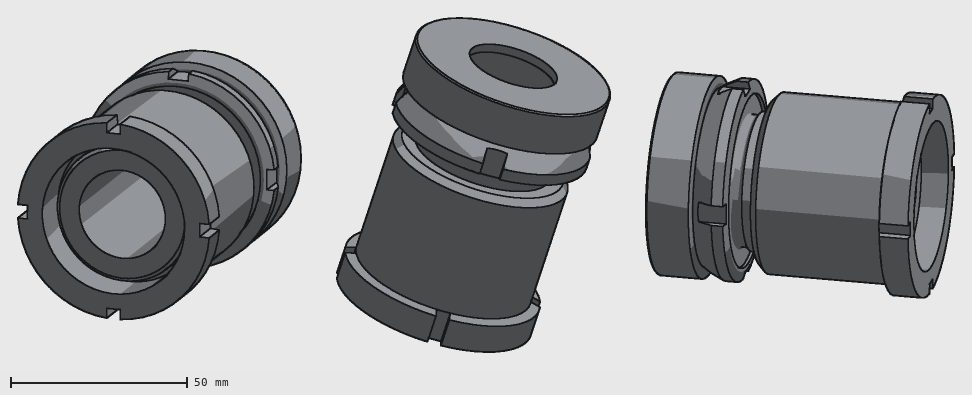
import cadquery as cq
import math

RIM_RADIUS = 58.0 / 2
BODY_RADIUS = 52.0 / 2
THREAD_RADIUS = 40.0 / 2
THROUGH_BORE_RADIUS = 26.0 / 2
BEVEL_SLOPE = math.tan(math.radians(15))
RIM_BEVEL = (RIM_RADIUS - BODY_RADIUS) * BEVEL_SLOPE
SLOT_COUNT = 4

FLANGE_THICKNESS = 9.15
SLEEVE_LENGTH = 47.1
SLEEVE_CHAMFER = 2.0
COUNTERBORE_RADIUS = 43 / 2
COUNTERBORE_DEPTH = 13.05
FLANGE_SLOT_WIDTH = 4.0

SPINDLE_START = 7.3
THREAD_CHAMFER = 1.1
THREAD_END = 50.5
NECK_RADIUS = THREAD_RADIUS - THREAD_CHAMFER
NECK_FILLET = 0.8
COLLAR_FRONT = 53.2
COLLAR_EDGE = 57.4
RECESS_RADIUS = 49.9 / 2
RECESS_DEPTH = 1.0
COLLAR_SLOT_WIDTH = 6.0
COLLAR_SLOT_FLOOR = 26.8

BALL_RADIUS = 31.25
BALL_CENTRE = COLLAR_EDGE - math.sqrt(BALL_RADIUS**2 - RIM_RADIUS**2)
BALL_TOP = BALL_CENTRE + math.sqrt(BALL_RADIUS**2 - THROUGH_BORE_RADIUS**2)

CAP_FRONT = 63.6
CAP_BACK = 76.65
CAP_BEVEL_WIDTH = 2.0
CAP_BACK_CHAMFER = 0.45
CAP_TILT_X = 0.25
CAP_TILT_Z = 0.25


def ball_radius_at(y):
    """Radius of the ball's cross-section at height y along the axis."""
    return math.sqrt(BALL_RADIUS**2 - (y - BALL_CENTRE) ** 2)


def ball_y_at(radius):
    """Height y at which the ball's cross-section has the given radius."""
    return BALL_CENTRE + math.sqrt(BALL_RADIUS**2 - radius**2)


def turned(profile):
    """Revolve a closed (radius, y) profile about the Y axis."""
    return profile.close().revolve(360, (0, 0, 0), (0, 1, 0))


def rim_slots(width, floor, start, end):
    """Four key slots around the Y axis, open outwards, from y = start to y = end."""
    depth = 2 * (RIM_RADIUS - floor)
    slot = cq.Workplane("XY").box(depth, end - start, width, centered=(False, False, True))
    slot = slot.translate((floor, start, 0))
    slots = cq.Workplane("XY")
    for i in range(SLOT_COUNT):
        slots = slots.add(slot.rotate((0, 0, 0), (0, 1, 0), i * 360 / SLOT_COUNT))
    return slots.combine()


def make_sleeve():
    profile = (
        cq.Workplane("XY")
        .moveTo(COUNTERBORE_RADIUS, 0)
        .lineTo(RIM_RADIUS, 0)
        .lineTo(RIM_RADIUS, FLANGE_THICKNESS - RIM_BEVEL)
        .lineTo(BODY_RADIUS, FLANGE_THICKNESS)
        .lineTo(BODY_RADIUS, SLEEVE_LENGTH - SLEEVE_CHAMFER)
        .lineTo(BODY_RADIUS - SLEEVE_CHAMFER, SLEEVE_LENGTH)
        .lineTo(THREAD_RADIUS, SLEEVE_LENGTH)
        .lineTo(THREAD_RADIUS, COUNTERBORE_DEPTH)
        .lineTo(COUNTERBORE_RADIUS, COUNTERBORE_DEPTH)
    )
    slots = rim_slots(FLANGE_SLOT_WIDTH, BODY_RADIUS, 0, FLANGE_THICKNESS)
    return turned(profile).cut(slots).solids()


def make_spindle():
    ball_mid = (RIM_RADIUS + THROUGH_BORE_RADIUS) / 2
    recess_floor = COLLAR_FRONT + RECESS_DEPTH
    neck_start = THREAD_END + THREAD_CHAMFER
    tangent = NECK_FILLET * math.tan(math.radians(45 / 2))
    slope_end = tangent / math.sqrt(2)
    profile = (
        cq.Workplane("XY")
        .moveTo(THROUGH_BORE_RADIUS, SPINDLE_START)
        .lineTo(THREAD_RADIUS - THREAD_CHAMFER, SPINDLE_START)
        .lineTo(THREAD_RADIUS, SPINDLE_START + THREAD_CHAMFER)
        .lineTo(THREAD_RADIUS, THREAD_END)
        .lineTo(NECK_RADIUS + slope_end, neck_start - slope_end)
        .radiusArc((NECK_RADIUS, neck_start + tangent), NECK_FILLET)
        .lineTo(NECK_RADIUS, recess_floor - NECK_FILLET)
        .radiusArc((NECK_RADIUS + NECK_FILLET, recess_floor), NECK_FILLET)
        .lineTo(RECESS_RADIUS, recess_floor)
        .lineTo(RECESS_RADIUS, COLLAR_FRONT)
        .lineTo(BODY_RADIUS, COLLAR_FRONT)
        .lineTo(RIM_RADIUS, COLLAR_FRONT + RIM_BEVEL)
        .lineTo(RIM_RADIUS, COLLAR_EDGE)
        .threePointArc((ball_mid, ball_y_at(ball_mid)), (THROUGH_BORE_RADIUS, BALL_TOP))
    )
    slots = rim_slots(COLLAR_SLOT_WIDTH, COLLAR_SLOT_FLOOR, COLLAR_FRONT, CAP_FRONT)
    return turned(profile).cut(slots).solids()


def make_cap():
    seat_radius = ball_radius_at(CAP_FRONT)
    seat_mid = (seat_radius + THROUGH_BORE_RADIUS) / 2
    profile = (
        cq.Workplane("XY")
        .moveTo(seat_radius, CAP_FRONT)
        .lineTo(RIM_RADIUS - CAP_BEVEL_WIDTH, CAP_FRONT)
        .lineTo(RIM_RADIUS, CAP_FRONT + CAP_BEVEL_WIDTH * BEVEL_SLOPE)
        .lineTo(RIM_RADIUS, CAP_BACK - CAP_BACK_CHAMFER)
        .lineTo(RIM_RADIUS - CAP_BACK_CHAMFER, CAP_BACK)
        .lineTo(THROUGH_BORE_RADIUS, CAP_BACK)
        .lineTo(THROUGH_BORE_RADIUS, BALL_TOP)
        .threePointArc((seat_mid, ball_y_at(seat_mid)), (seat_radius, CAP_FRONT))
    )
    centre = (0, BALL_CENTRE, 0)
    cap = turned(profile)
    cap = cap.rotate(centre, (1, BALL_CENTRE, 0), CAP_TILT_X)
    return cap.rotate(centre, (0, BALL_CENTRE, 1), CAP_TILT_Z)


sleeve = make_sleeve()
spindle = make_spindle()
cap = make_cap()

result = cq.Compound.makeCompound([sleeve.val(), spindle.val(), cap.val()])